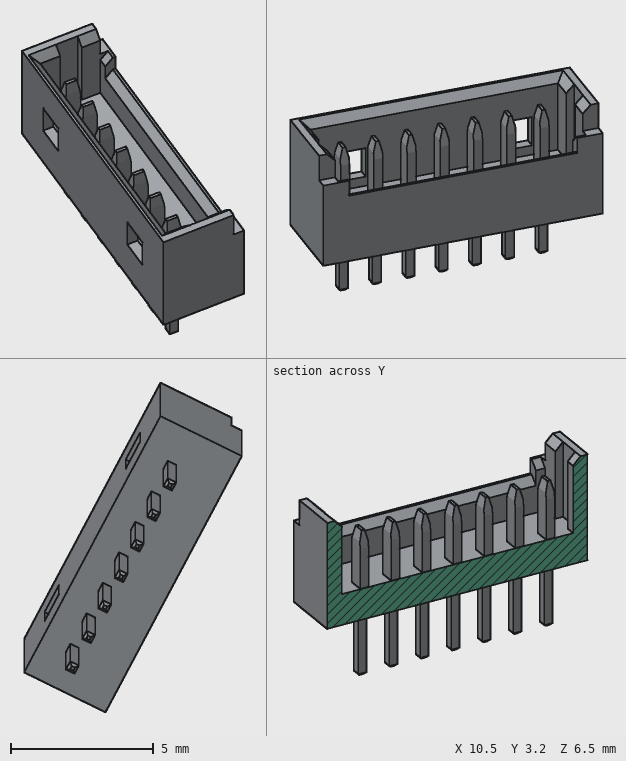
import cadquery as cq


length = 10.5
depth = 3.2
height = 4.2
floor_thickness = 1.24
end_wall = 0.6
long_wall = 0.41
lead_in = 0.3
cavity_length = length - 2 * end_wall
cavity_depth = depth - 2 * long_wall
rear_inner_y = depth - long_wall

corner_drop = 0.99
middle_drop = 1.59
middle_length = 8.57

slot_start_y = 1.2
slot_width = 0.86
slot_length = cavity_length + 2 * lead_in

window_width = 1.1
window_height = 1.13
window_sill_z = 1.61
window_spacing = 6.25

pin_count = 7
pin_pitch = 1.25
pin_y = 1.13
pin_width = 0.34
blade_depth = 0.61
blade_top_z = 3.49
width_taper_height = 0.42
depth_taper_height = 0.65
blade_tip_width = 0.12
blade_tip_depth = 0.42
tail_length = 2.3
tail_chamfer = 0.1


def box(x_size, y_size, z_size, y_start, z_start, x_center=0.0):
    """Block centred on x_center that grows from y_start and z_start."""
    return (
        cq.Workplane("XY")
        .box(x_size, y_size, z_size, centered=(True, False, False))
        .translate((x_center, y_start, z_start))
    )


def make_lead_in():
    """Flared mouth that bevels the front and end walls but leaves the rear wall straight."""
    return (
        cq.Workplane("XY", origin=(0, long_wall + cavity_depth / 2, height - lead_in))
        .rect(cavity_length, cavity_depth)
        .workplane(offset=lead_in)
        .center(0, -lead_in / 2)
        .rect(slot_length, cavity_depth + lead_in)
        .loft(ruled=True)
    )


def rear_bevel(x_size, edge_z):
    """Wedge that bevels the inner top edge of a stretch of rear wall."""
    return (
        cq.Workplane("YZ", origin=(-x_size / 2, 0, 0))
        .moveTo(rear_inner_y, edge_z - lead_in)
        .lineTo(rear_inner_y + lead_in, edge_z)
        .lineTo(rear_inner_y, edge_z)
        .close()
        .extrude(x_size)
    )


def make_housing():
    housing = box(length, depth, height, 0, 0)

    cavity_height = height - floor_thickness
    housing = housing.cut(box(cavity_length, cavity_depth, cavity_height, long_wall, floor_thickness))
    housing = housing.cut(box(slot_length, slot_width, cavity_height, slot_start_y, floor_thickness))
    housing = housing.cut(make_lead_in())

    for x_size, bevel_size, drop in (
        (length, cavity_length, corner_drop),
        (middle_length, middle_length, middle_drop),
    ):
        step_z = height - drop
        housing = housing.cut(box(x_size, long_wall, drop, rear_inner_y, step_z))
        housing = housing.cut(rear_bevel(bevel_size, step_z))

    for side in (-1, 1):
        window = box(window_width, long_wall, window_height, 0, window_sill_z, side * window_spacing / 2)
        housing = housing.cut(window)
    return housing


def tapered_slab(plane, origin, width, tip_width, taper_height, thickness):
    """Upright slab on the cavity floor whose two sides lean inward near the top."""
    taper_z = blade_top_z - taper_height
    return (
        cq.Workplane(plane, origin=origin)
        .moveTo(-width / 2, floor_thickness)
        .lineTo(-width / 2, taper_z)
        .lineTo(-tip_width / 2, blade_top_z)
        .lineTo(tip_width / 2, blade_top_z)
        .lineTo(width / 2, taper_z)
        .lineTo(width / 2, floor_thickness)
        .close()
        .extrude(thickness / 2, both=True)
    )


def make_pin(x):
    """Square tail that runs through the floor and a deeper, tapered blade above it."""
    tail = (
        box(pin_width, pin_width, tail_length + floor_thickness, pin_y - pin_width / 2, -tail_length, x)
        .faces("<Z")
        .chamfer(tail_chamfer)
    )
    axis = (x, pin_y, 0)
    blade = tapered_slab("XZ", axis, pin_width, blade_tip_width, width_taper_height, blade_depth)
    blade = blade.intersect(
        tapered_slab("YZ", axis, blade_depth, blade_tip_depth, depth_taper_height, pin_width)
    )
    return tail.union(blade)


result = make_housing()
for index in range(pin_count):
    result = result.union(make_pin((index - (pin_count - 1) / 2) * pin_pitch))